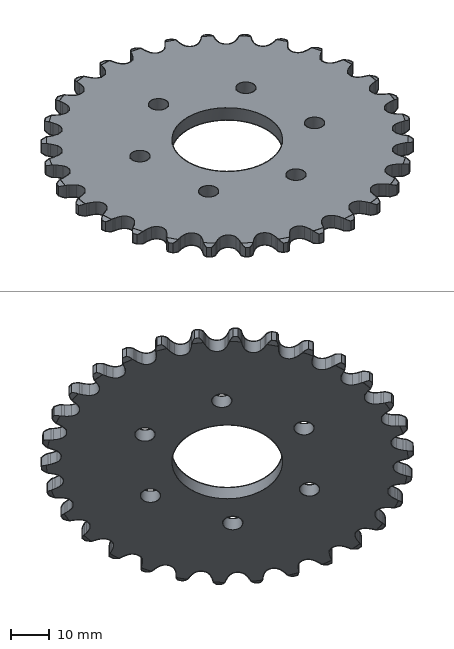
import cadquery as cq
import math


tooth_count = 30
outside_diameter = 96.3
thickness = 3.95
flat_face_diameter = 93.5
bevel_depth = 0.5
bore_diameter = 28.6
bolt_hole_count = 6
bolt_circle_diameter = 47.6
bolt_hole_diameter = 5.2
seat_clearance = 0.06
roller_to_pitch = 8 / 15

half_step = math.pi / tooth_count
pitch = outside_diameter / (0.6 + 1 / math.tan(half_step))
pitch_radius = pitch / (2 * math.sin(half_step))
roller = pitch * roller_to_pitch
outside_radius = outside_diameter / 2

seat_end_angle = math.radians(35 + 60 / tooth_count)
working_sweep = math.radians(18 - 56 / tooth_count)
flank_angle = seat_end_angle - working_sweep

working_offset = 0.8 * roller
topping_offset = 1.4 * roller
seat_radius = (1.005 * roller + seat_clearance) / 2
working_radius = seat_radius + working_offset
topping_radius = (
    working_offset * math.cos(working_sweep)
    + topping_offset * math.cos(flank_angle - half_step)
    - working_radius
)


def polar(center, radius, angle):
    """Point at a distance and angle from a center."""
    return (center[0] + radius * math.cos(angle), center[1] + radius * math.sin(angle))


def rotated(point, angle):
    """Point turned clockwise about the sprocket axis."""
    x, y = point
    return (
        x * math.cos(angle) + y * math.sin(angle),
        y * math.cos(angle) - x * math.sin(angle),
    )


def mirrored(point):
    return (-point[0], point[1])


def right_flank():
    """Points up the right side of the gap on +Y, from the seat bottom to the pointed tooth tip."""
    pitch_point = (0, pitch_radius)
    working_center = polar(pitch_point, working_offset, math.pi - seat_end_angle)
    topping_center = polar(pitch_point, topping_offset, -half_step)

    axis_distance = topping_offset - pitch / 2
    tip_angle = math.pi - math.acos(axis_distance / topping_radius) - half_step
    topping_start = math.pi - flank_angle

    return {
        "seat_bottom": polar(pitch_point, seat_radius, -math.pi / 2),
        "seat_end": polar(pitch_point, seat_radius, -seat_end_angle),
        "working_mid": polar(working_center, working_radius, -seat_end_angle + working_sweep / 2),
        "working_end": polar(working_center, working_radius, -flank_angle),
        "topping_start": polar(topping_center, topping_radius, topping_start),
        "topping_mid": polar(topping_center, topping_radius, (topping_start + tip_angle) / 2),
        "tip": polar(topping_center, topping_radius, tip_angle),
    }


def toothed_plate():
    """Plate with pointed teeth, traced clockwise one gap at a time; a tooth stands on +Y."""
    right_points = right_flank()
    left_points = {name: mirrored(point) for name, point in right_points.items()}
    outline = cq.Workplane("XY").moveTo(*rotated(left_points["tip"], half_step))
    for gap in range(tooth_count):
        turn = (2 * gap + 1) * half_step
        right = {name: rotated(point, turn) for name, point in right_points.items()}
        left = {name: rotated(point, turn) for name, point in left_points.items()}
        outline = (
            outline.threePointArc(left["topping_mid"], left["topping_start"])
            .lineTo(*left["working_end"])
            .threePointArc(left["working_mid"], left["seat_end"])
            .threePointArc(right["seat_bottom"], right["seat_end"])
            .threePointArc(right["working_mid"], right["working_end"])
            .lineTo(*right["topping_start"])
            .threePointArc(right["topping_mid"], right["tip"])
        )
    return outline.close().extrude(thickness / 2, both=True)


def beveled_blank():
    """Disc with a shallow cone on both faces of its rim, trimming the tooth tips."""
    face = thickness / 2
    rim = face - bevel_depth
    shoulder = flat_face_diameter / 2
    return (
        cq.Workplane("XZ")
        .polyline([
            (0, -face),
            (shoulder, -face),
            (outside_radius, -rim),
            (outside_radius, rim),
            (shoulder, face),
            (0, face),
        ])
        .close()
        .revolve(360, (0, 0), (0, 1))
    )


def holes():
    """Central bore and bolt holes, all through; one bolt hole lies on +X."""
    bore = cq.Workplane("XY").circle(bore_diameter / 2).extrude(thickness, both=True)
    bolts = (
        cq.Workplane("XY")
        .polarArray(bolt_circle_diameter / 2, 0, 360, bolt_hole_count)
        .circle(bolt_hole_diameter / 2)
        .extrude(thickness, both=True)
    )
    return bore.union(bolts)


result = toothed_plate().intersect(beveled_blank()).cut(holes())